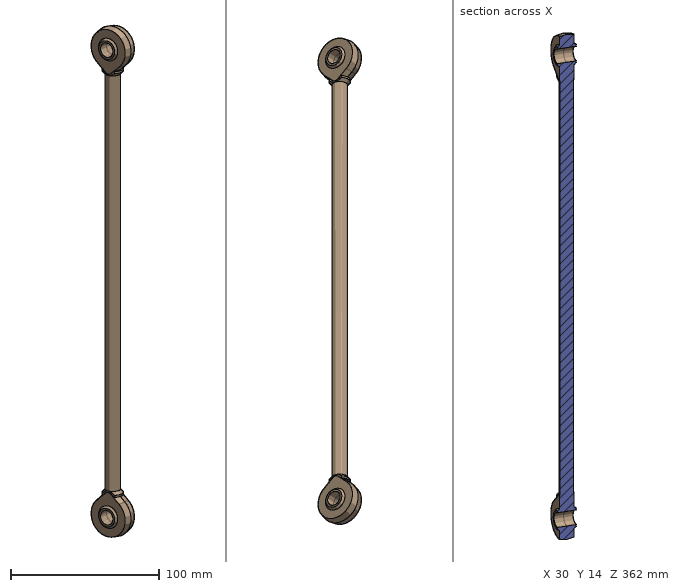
import cadquery as cq
import math

length = 362.0
eye_diameter = 30.0
eye_radius = eye_diameter / 2
eye_thickness = 11.0
draft_angle = 10.0
tip_radius = 4.5
tip_drop = 14.0
eye_height = length / 2 - eye_radius

bore_radius = 5.0
ball_width = 14.0
ball_face_radius = 6.5
ball_radius = math.hypot(ball_width / 2, ball_face_radius)

rod_diameter = 10.5
rod_radius = rod_diameter / 2
neck_radius = 7.2
shoulder_drop = 16.3
neck_drop = 18.5
collar_top_drop = 15.0


def eye_body():
    """Teardrop plate centred on the origin, tip down, drafted both ways from its middle plane."""
    flank_sine = (eye_radius - tip_radius) / tip_drop
    flank_cosine = math.sqrt(1 - flank_sine**2)
    eye_x, eye_z = eye_radius * flank_cosine, -eye_radius * flank_sine
    tip_x, tip_z = tip_radius * flank_cosine, -tip_drop - tip_radius * flank_sine
    outline = (
        cq.Workplane("XZ")
        .moveTo(eye_x, eye_z)
        .threePointArc((0, eye_radius), (-eye_x, eye_z))
        .lineTo(-tip_x, tip_z)
        .threePointArc((0, -tip_drop - tip_radius), (tip_x, tip_z))
        .close()
    )
    front_half = outline.extrude(eye_thickness / 2, taper=draft_angle)
    return front_half.union(front_half.mirror("XZ"))


def neck():
    """Round collar tapering down to the rod, flattened to the rod's width along Y."""
    collar = (
        cq.Workplane("XZ")
        .moveTo(0, -neck_drop)
        .lineTo(rod_radius, -neck_drop)
        .lineTo(neck_radius, -shoulder_drop)
        .lineTo(neck_radius, -collar_top_drop)
        .lineTo(0, -collar_top_drop)
        .close()
        .revolve(360, (0, 0, 0), (0, 1, 0))
    )
    flats = cq.Workplane("XY").box(2 * neck_radius, rod_diameter, 2 * neck_drop)
    return collar.intersect(flats)


def bearing_ball():
    """Ball cut flat at both ends, with its axis along Y."""
    slab = cq.Workplane("XY").box(2 * ball_radius, ball_width, 2 * ball_radius)
    return cq.Workplane("XY").sphere(ball_radius).intersect(slab)


def rod_end():
    """Complete upper rod end, centred on its bore."""
    bore = cq.Workplane("XZ").circle(bore_radius).extrude(ball_width, both=True)
    return eye_body().union(neck()).union(bearing_ball()).cut(bore)


rod_half_length = eye_height - shoulder_drop
rod = cq.Workplane("XY").circle(rod_radius).extrude(rod_half_length, both=True)

upper_end = rod_end().translate((0, 0, eye_height))
lower_end = upper_end.mirror("XY")
result = rod.union(upper_end).union(lower_end)